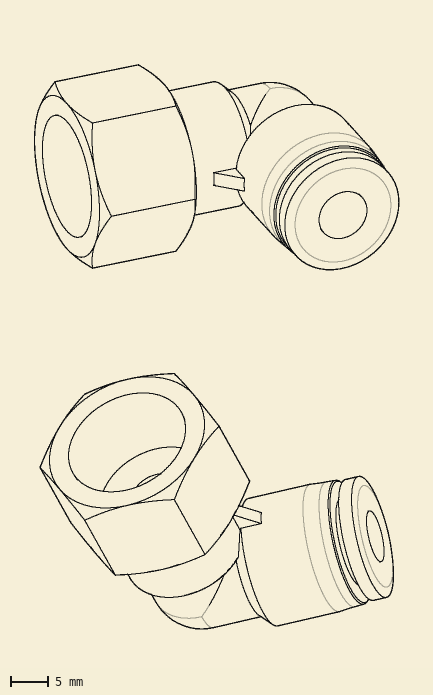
import cadquery as cq
import math

elbow_radius = 7.05

body_radius = 8.74
body_start = 8.7
body_end = 17.48
taper_end = 19.7
taper_end_radius = 8.55
lip_start = 20.95
lip_radius = 8.5
lip_chamfer = 0.2
groove_radius = 5.95
collar_start = 22.38
collar_radius = 8.3
collar_edge = 24.2
collar_end = 24.6
collar_end_radius = 6.95

neck_radius = 8.5
shoulder_start = 5.0
shoulder_end = 6.5
nut_bottom = 38.25 - body_radius
nut_height = 14.08
nut_top = nut_bottom - nut_height
nut_flats = 22.0
nut_corner_radius = nut_flats / math.sqrt(3)
nut_chamfer_height = (nut_corner_radius - nut_flats / 2) * math.tan(math.radians(30))

flow_radius = 3.48
thread_mouth_radius = 8.3
thread_end_radius = 7.95
thread_depth = 11.48

gusset_leg = 20.27
gusset_thickness = 1.9


def turned_leg_along_x(outline):
    """Revolve (station, radius) points about the X axis."""
    points = [(outline[0][0], 0)] + outline + [(outline[-1][0], 0)]
    return cq.Workplane("XY").polyline(points).close().revolve(360, (0, 0), (1, 0))


def turned_leg_along_y(outline):
    """Revolve (distance below centre, radius) points about the Y axis."""
    return turned_leg_along_x(outline).rotate((0, 0, 0), (0, 0, 1), -90)


def tube_leg():
    return turned_leg_along_x([
        (0, elbow_radius),
        (body_start - (body_radius - elbow_radius), elbow_radius),
        (body_start, body_radius),
        (body_end, body_radius),
        (taper_end, taper_end_radius),
        (lip_start, lip_radius),
        (lip_start + lip_chamfer, lip_radius - lip_chamfer),
        (lip_start + lip_chamfer, groove_radius),
        (collar_start, groove_radius),
        (collar_start, collar_radius),
        (collar_edge, collar_radius),
        (collar_end, collar_end_radius),
    ])


def neck():
    return turned_leg_along_y([
        (0, elbow_radius),
        (shoulder_start, elbow_radius),
        (shoulder_end, neck_radius),
        (nut_top, neck_radius),
    ])


def nut():
    hexagon = (
        cq.Workplane("XZ", origin=(0, -nut_top, 0))
        .polygon(6, 2 * nut_corner_radius)
        .extrude(nut_height)
    )
    chamfer_envelope = turned_leg_along_y([
        (nut_top, nut_flats / 2),
        (nut_top + nut_chamfer_height, nut_corner_radius),
        (nut_bottom - nut_chamfer_height, nut_corner_radius),
        (nut_bottom, nut_flats / 2),
    ])
    return hexagon.intersect(chamfer_envelope)


def gusset():
    """Triangular web whose 45 degree edge bridges the inside corner."""
    far_side = gusset_leg - elbow_radius
    return (
        cq.Workplane("XY")
        .polyline([
            (elbow_radius, -elbow_radius),
            (far_side, -elbow_radius),
            (elbow_radius, -far_side),
        ])
        .close()
        .extrude(gusset_thickness / 2, both=True)
    )


def flow_passage():
    ball = cq.Workplane("XY").sphere(flow_radius)
    tube_bore = turned_leg_along_x([(0, flow_radius), (collar_end, flow_radius)])
    nut_bore = turned_leg_along_y([(0, flow_radius), (nut_bottom, flow_radius)])
    return ball.union(tube_bore).union(nut_bore)


def thread_bore():
    return turned_leg_along_y([
        (nut_bottom - thread_depth, thread_end_radius),
        (nut_bottom, thread_mouth_radius),
    ])


outer = cq.Workplane("XY").sphere(elbow_radius)
outer = outer.union(tube_leg()).union(neck()).union(nut()).union(gusset())
result = outer.cut(flow_passage()).cut(thread_bore())